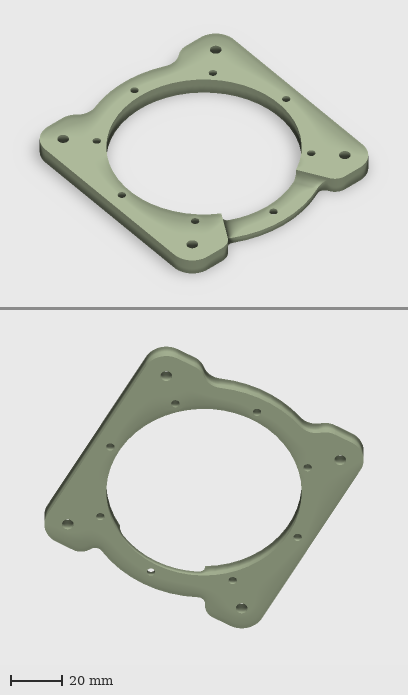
import cadquery as cq
import math

side = 96.0
half = side / 2
thickness = 7.0
bore_diameter = 76.0
corner_radius = 9.1

ring_radius = half
lobe_radius = 8.0
lobe_centre_y = 31.4
cove_radius = 8.0

flank_angle = math.radians(30)
flank_tip_radius = 6.0
flank_cove_radius = 3.0
floor_height = 2.8

corner_hole_diameter = 4.5
corner_hole_spacing = 77.8
ring_hole_diameter = 3.3
ring_hole_circle_radius = 41.9
ring_hole_count = 8


def polar(radius, angle):
    return (radius * math.cos(angle), radius * math.sin(angle))


def toward(start, end, distance):
    """Point at a given distance from start on the way to end."""
    ratio = distance / math.dist(start, end)
    return tuple(a + (b - a) * ratio for a, b in zip(start, end))


def arc_middle(centre, start, end):
    """Midpoint of the shorter circular arc from start to end."""
    chord_middle = tuple((a + b) / 2 for a, b in zip(start, end))
    return toward(centre, chord_middle, math.dist(centre, start))


def upper_edge():
    """Segments (start, middle, end) of the +Y half, from the right end to the left end.

    A straight segment has None as its middle.
    """
    origin = (0, 0)
    arc_start = half - corner_radius

    cove_distance = ring_radius + flank_cove_radius
    cove_offset_angle = math.asin(flank_cove_radius / cove_distance)
    right_cove = polar(cove_distance, flank_angle - cove_offset_angle)
    right_ring_end = toward(origin, right_cove, ring_radius)
    flank_start = polar(cove_distance * math.cos(cove_offset_angle), flank_angle)

    flank_corner = (half, half * math.tan(flank_angle))
    tip_tangent = flank_tip_radius * math.tan((math.pi / 2 - flank_angle) / 2)
    flank_end = toward(flank_corner, origin, tip_tangent)
    tip_end = (half, flank_corner[1] + tip_tangent)
    tip_centre = (half - flank_tip_radius, tip_end[1])

    lobe_centre = (lobe_radius - half, lobe_centre_y)
    lobe_distance = math.dist(origin, lobe_centre)
    left_cove_distance = ring_radius + cove_radius
    cove_to_lobe = lobe_radius + cove_radius
    squares = left_cove_distance**2 + lobe_distance**2 - cove_to_lobe**2
    lobe_to_cove_angle = math.acos(squares / (2 * left_cove_distance * lobe_distance))
    lobe_angle = math.atan2(lobe_centre[1], lobe_centre[0])
    left_cove = polar(left_cove_distance, lobe_angle + lobe_to_cove_angle)
    lobe_end = toward(lobe_centre, left_cove, lobe_radius)
    left_ring_start = toward(origin, left_cove, ring_radius)

    right_corner = (arc_start, arc_start)
    left_corner = (-arc_start, arc_start)
    path = [
        (right_ring_end, origin),
        (flank_start, right_cove),
        (flank_end, None),
        (tip_end, tip_centre),
        ((half, arc_start), None),
        ((arc_start, half), right_corner),
        ((-arc_start, half), None),
        ((-half, arc_start), left_corner),
        ((-half, lobe_centre_y), None),
        (lobe_end, lobe_centre),
        (left_ring_start, left_cove),
        ((-ring_radius, 0), origin),
    ]
    segments = []
    start = (ring_radius, 0)
    for end, centre in path:
        middle = arc_middle(centre, start, end) if centre else None
        segments.append((start, middle, end))
        start = end
    return segments


def mirrored(point):
    return (point[0], -point[1])


def make_plate():
    segments = upper_edge()
    lower = [
        (mirrored(end), mirrored(middle) if middle else None, mirrored(start))
        for start, middle, end in reversed(segments)
    ]
    outline = cq.Workplane("XY").moveTo(ring_radius, 0)
    for _, middle, end in segments + lower:
        outline = outline.threePointArc(middle, end) if middle else outline.lineTo(*end)
    plate = outline.close().extrude(thickness)
    bore = cq.Workplane("XY").circle(bore_diameter / 2).extrude(thickness)
    return plate.cut(bore)


def make_sector_cutter():
    """Wedge between the flanks, with rounded lower edges along both flanks."""
    inner_x = bore_diameter / 4
    outer_x = side
    slope = math.tan(flank_angle)
    wedge = (
        cq.Workplane("XY", origin=(0, 0, floor_height))
        .polyline([
            (inner_x, -inner_x * slope),
            (outer_x, -outer_x * slope),
            (outer_x, outer_x * slope),
            (inner_x, inner_x * slope),
        ])
        .close()
        .extrude(thickness)
    )
    return wedge.faces("<Z").edges("not |Y").fillet(flank_cove_radius)


def drill(plate):
    corner_holes = (
        cq.Workplane("XY")
        .rect(corner_hole_spacing, corner_hole_spacing, forConstruction=True)
        .vertices()
        .circle(corner_hole_diameter / 2)
        .extrude(thickness)
    )
    ring_holes = (
        cq.Workplane("XY")
        .polarArray(ring_hole_circle_radius, 0, 360, ring_hole_count)
        .circle(ring_hole_diameter / 2)
        .extrude(thickness)
    )
    return plate.cut(corner_holes).cut(ring_holes)


result = drill(make_plate().cut(make_sector_cutter()))